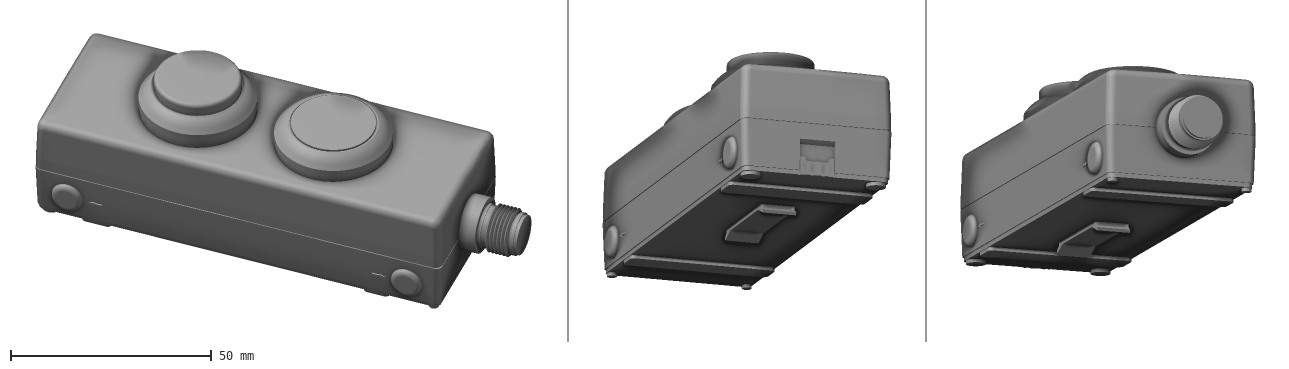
import cadquery as cq
import math

TOTAL_LENGTH = 123.2
BODY_LENGTH = 108.5
BODY_WIDTH = 39.7
BODY_MID = BODY_LENGTH / 2
PARTING_Z = 13.3
STRAIGHT_TOP_Z = 16.4
COVER_EDGE_Z = 27.6
COVER_CENTRE_Z = 27.8
DRAFT_ANGLE = 1.9
COVER_CORNER_RADIUS = 2.1
BASE_CORNER_RADIUS = 1.7
TOP_FILLET = 2.0
PLINTH_HEIGHT = 1.1
PLINTH_INSET = 0.2
PARTING_GROOVE_HEIGHT = 0.2
PARTING_GROOVE_DEPTH = 0.2

BUTTON_XS = (BODY_LENGTH / 3, 2 * BODY_LENGTH / 3)
BEZEL_BASE_RADIUS = 14.9
BEZEL_RADIUS = 14.8
BEZEL_BASE_Z = 25.9
RAISED_BEZEL_TOP_Z = 34.9
FLUSH_BEZEL_TOP_Z = 34.2
BEZEL_TOP_RADIUS = 11.3
BEZEL_SHOULDER_HEIGHT = 3.1
RIM_BEVEL_HEIGHT = 0.7
RIM_BEVEL_WIDTH = 0.6
SHOULDER_BULGE = 0.18
CAP_GAP = 0.4
CAP_RADIUS = BEZEL_TOP_RADIUS - CAP_GAP
CAP_EDGE = 1.0
RAISED_CAP_EDGE_Z = 38.2
FLUSH_CAP_EDGE_Z = FLUSH_BEZEL_TOP_Z + 0.2
CAP_CROWN = 0.2

SCREW_XS = (9.0, BODY_LENGTH - 9.0)
SCREW_Z = 6.3
SCREW_RADIUS = 4.2
SCREW_FACE_Y = 41.7 / 2
SCREW_ROUNDING = 1.5
SCREW_ROOT_Y = BODY_WIDTH / 2 - 1.2
ARROW_TIP_OFFSET = 5.8
ARROW_HEAD_LENGTH = 1.5
ARROW_LENGTH = 3.5
ARROW_HEAD_WIDTH = 1.1
ARROW_STEM_WIDTH = 0.5
ARROW_FACE_Y = BODY_WIDTH / 2 + 0.1

COLLAR_RADIUS = 7.3
COLLAR_END_X = 112.8
NECK_RADIUS = 5.5
FLANGE_RADIUS = 5.8
FLANGE_LENGTH = 0.9
THREAD_START_X = 114.9
THREAD_PITCH = 1.0
THREAD_COUNT = 6
THREAD_RADIUS = 6.3
UNDERCUT_LENGTH = 0.5
TIP_RING_LENGTH = 1.0
TIP_RADIUS = 5.2

FOOT_HEIGHT = 0.9
FOOT_HALF_SPAN = 19.0
LEFT_FOOT_X = 3.6
LEFT_FOOT_RADIUS = 2.5
RIGHT_FOOT_X = 106.0
RIGHT_FOOT_RADIUS = 1.2
PAD_RANGES = ((12.3, 20.2), (87.4, 94.3))
PAD_CORNER = 1.2
CLIP_X = 43.8
CLIP_WIDTH = 8.7
CLIP_PLATE_LENGTH = 26.6
CLIP_WING_ROOT = 10.7
CLIP_WING_TIP = 14.7
CLIP_THICKNESS = 0.7
CLIP_DROP = 2.5

RECESS_WIDTH = 9.4
RECESS_TOP_Z = 9.2
RECESS_BACK_TOP_Z = 8.0
RECESS_DEPTH = 1.1
LATCH_WIDTH = 8.7
LATCH_TOP_Z = 3.6
LATCH_FACE_X = 0.5
SHOULDER_WIDTH = 1.4
SHOULDER_TOP_Z = 4.7
SHOULDER_ROUNDING = 0.5
RIB_SPACING = 2.5
CENTRE_RIB_WIDTH = 1.8
SIDE_RIB_WIDTH = 1.1
RIB_PROJECTION = 0.4

EMBED = 0.6


def box(x_range, y_range, z_range):
    lows, highs = zip(x_range, y_range, z_range)
    size = [high - low for low, high in zip(lows, highs)]
    return cq.Workplane("XY").box(*size, centered=False).translate(lows)


def body_block(bottom_z, height, corner_radius, inset=0, draft=0):
    """Rounded block on the body plan; a negative height grows downward."""
    return (
        cq.Workplane("XY", origin=(BODY_MID, 0, bottom_z))
        .rect(BODY_LENGTH - 2 * inset, BODY_WIDTH - 2 * inset)
        .extrude(height, taper=draft)
        .edges("not (#Z or |X or |Y)")
        .fillet(corner_radius)
    )


def make_cover():
    """Upper shell: straight band, drafted walls and a top gently crowned across Y."""
    upper = body_block(STRAIGHT_TOP_Z, COVER_CENTRE_Z + EMBED - STRAIGHT_TOP_Z,
                       COVER_CORNER_RADIUS, draft=DRAFT_ANGLE)
    half = BODY_WIDTH / 2
    crown = (
        cq.Workplane("YZ", origin=(-EMBED, 0, 0))
        .moveTo(-half, 0)
        .lineTo(-half, COVER_EDGE_Z)
        .threePointArc((0, COVER_CENTRE_Z), (half, COVER_EDGE_Z))
        .lineTo(half, 0)
        .close()
        .extrude(BODY_LENGTH + 2 * EMBED)
    )
    upper = upper.intersect(crown).faces(">Z").edges().fillet(TOP_FILLET)
    return upper.union(body_block(PARTING_Z, STRAIGHT_TOP_Z - PARTING_Z, COVER_CORNER_RADIUS))


def make_base():
    """Lower shell narrowing towards a slightly inset plinth."""
    drafted = body_block(PARTING_Z - PARTING_GROOVE_HEIGHT,
                         PLINTH_HEIGHT + PARTING_GROOVE_HEIGHT - PARTING_Z,
                         BASE_CORNER_RADIUS, draft=DRAFT_ANGLE)
    plinth_inset = PARTING_Z * math.tan(math.radians(DRAFT_ANGLE)) + PLINTH_INSET
    plinth = body_block(0, PLINTH_HEIGHT, BASE_CORNER_RADIUS, inset=plinth_inset)
    seam = body_block(PARTING_Z - PARTING_GROOVE_HEIGHT, PARTING_GROOVE_HEIGHT,
                      BASE_CORNER_RADIUS, inset=PARTING_GROOVE_DEPTH)
    return drafted.union(plinth).union(seam)


def make_button(x, bezel_top_z, cap_edge_z):
    """Turned push button: bezel with a bevelled rim and bulged shoulder, gap, and a crowned cap."""
    rim_z = bezel_top_z - BEZEL_SHOULDER_HEIGHT
    gap_floor_z = bezel_top_z - CAP_GAP
    shoulder_radius = BEZEL_RADIUS - RIM_BEVEL_WIDTH
    shoulder_z = rim_z + RIM_BEVEL_HEIGHT
    shoulder_middle = ((shoulder_radius + BEZEL_TOP_RADIUS) / 2 + SHOULDER_BULGE,
                       (shoulder_z + bezel_top_z) / 2 + SHOULDER_BULGE)
    bezel = (
        cq.Workplane("XZ")
        .moveTo(0, BEZEL_BASE_Z)
        .lineTo(BEZEL_BASE_RADIUS, BEZEL_BASE_Z)
        .lineTo(BEZEL_RADIUS, rim_z)
        .lineTo(shoulder_radius, shoulder_z)
        .threePointArc(shoulder_middle, (BEZEL_TOP_RADIUS, bezel_top_z))
        .lineTo(CAP_RADIUS, bezel_top_z)
        .lineTo(CAP_RADIUS, gap_floor_z)
        .lineTo(0, gap_floor_z)
        .close()
        .revolve(360, (0, 0, 0), (0, 1, 0))
    )
    return bezel.union(make_cap(rim_z, bezel_top_z, cap_edge_z)).translate((x, 0, 0))


def make_cap(base_z, bezel_top_z, edge_z):
    """Crowned cap: a raised one has a rounded rim, a flush one stands inside the bezel gap."""
    profile = cq.Workplane("XZ").moveTo(0, base_z)
    if edge_z - CAP_EDGE > bezel_top_z:
        rim = CAP_RADIUS - CAP_EDGE
        profile = (
            profile.lineTo(CAP_RADIUS, base_z)
            .lineTo(CAP_RADIUS, edge_z - CAP_EDGE)
            .radiusArc((rim, edge_z), -CAP_EDGE)
        )
    else:
        rim = CAP_RADIUS - CAP_GAP
        profile = profile.lineTo(rim, base_z).lineTo(rim, edge_z)
    sphere_radius = (rim ** 2 + CAP_CROWN ** 2) / (2 * CAP_CROWN)
    return (
        profile.radiusArc((0, edge_z + CAP_CROWN), -sphere_radius)
        .close()
        .revolve(360, (0, 0, 0), (0, 1, 0))
    )


def make_screw(x):
    """Rounded screw head on the -Y side."""
    return (
        cq.Workplane("XZ", origin=(x, -SCREW_ROOT_Y, SCREW_Z))
        .circle(SCREW_RADIUS)
        .extrude(SCREW_FACE_Y - SCREW_ROOT_Y)
        .faces("<Y")
        .edges()
        .fillet(SCREW_ROUNDING)
    )


def make_arrow(screw_x):
    """Raised arrow on the -Y side, pointing outward at its screw."""
    inward = 1 if screw_x < BODY_MID else -1
    neck = inward * ARROW_HEAD_LENGTH
    tail = inward * ARROW_LENGTH
    head_half = ARROW_HEAD_WIDTH / 2
    stem_half = ARROW_STEM_WIDTH / 2
    outline = [
        (0, 0), (neck, head_half), (neck, stem_half), (tail, stem_half),
        (tail, -stem_half), (neck, -stem_half), (neck, -head_half),
    ]
    return (
        cq.Workplane("XZ", origin=(screw_x + inward * ARROW_TIP_OFFSET, -SCREW_ROOT_Y, SCREW_Z))
        .polyline(outline)
        .close()
        .extrude(ARROW_FACE_Y - SCREW_ROOT_Y)
    )


def x_cylinder(start_x, end_x, radius):
    return cq.Workplane("YZ", origin=(start_x, 0, PARTING_Z)).circle(radius).extrude(end_x - start_x)


def make_connector():
    """Collar, neck, ridged thread, undercut and tip along X at parting height."""
    thread_end = THREAD_START_X + THREAD_COUNT * THREAD_PITCH
    ring_start = thread_end + UNDERCUT_LENGTH
    connector = x_cylinder(BODY_LENGTH - 2 * EMBED, COLLAR_END_X, COLLAR_RADIUS)
    connector = connector.union(x_cylinder(COLLAR_END_X, COLLAR_END_X + FLANGE_LENGTH, FLANGE_RADIUS))
    connector = connector.union(x_cylinder(COLLAR_END_X, THREAD_START_X, NECK_RADIUS))
    connector = connector.union(x_cylinder(thread_end, TOTAL_LENGTH, TIP_RADIUS))
    connector = connector.union(x_cylinder(ring_start, ring_start + TIP_RING_LENGTH, NECK_RADIUS))
    thread = cq.Workplane("XY").moveTo(THREAD_START_X, 0).lineTo(THREAD_START_X, NECK_RADIUS)
    for ridge in range(THREAD_COUNT):
        ridge_x = THREAD_START_X + ridge * THREAD_PITCH
        thread = thread.lineTo(ridge_x + THREAD_PITCH / 2, THREAD_RADIUS)
        thread = thread.lineTo(ridge_x + THREAD_PITCH, NECK_RADIUS)
    thread = thread.lineTo(thread_end, 0).close().revolve(360, (0, 0, 0), (1, 0, 0))
    return connector.union(thread.translate((0, 0, PARTING_Z)))


def make_feet():
    """Round corner feet and two cross pads under the base."""
    feet = cq.Workplane("XY")
    for x, radius in ((LEFT_FOOT_X, LEFT_FOOT_RADIUS), (RIGHT_FOOT_X, RIGHT_FOOT_RADIUS)):
        offset = FOOT_HALF_SPAN - radius
        feet = feet.union(
            cq.Workplane("XY", origin=(0, 0, -FOOT_HEIGHT))
            .pushPoints([(x, -offset), (x, offset)])
            .circle(radius)
            .extrude(FOOT_HEIGHT + EMBED)
        )
    for start_x, end_x in PAD_RANGES:
        pad = box((start_x, end_x), (-FOOT_HALF_SPAN, FOOT_HALF_SPAN), (-FOOT_HEIGHT, EMBED))
        feet = feet.union(pad.edges("|Z").fillet(PAD_CORNER))
    return feet


def make_clip():
    """Flat spring clip with a wing bent down at each end."""
    half_plate = CLIP_PLATE_LENGTH / 2
    half_width = CLIP_WIDTH / 2
    clip = box((CLIP_X - half_plate, CLIP_X + half_plate), (-half_width, half_width),
               (-FOOT_HEIGHT, EMBED))
    for side in (-1, 1):
        wing = [
            (side * CLIP_WING_ROOT, -FOOT_HEIGHT),
            (side * (CLIP_WING_TIP - CLIP_THICKNESS / 2), -CLIP_DROP),
            (side * CLIP_WING_TIP, CLIP_THICKNESS - CLIP_DROP),
            (side * half_plate, -FOOT_HEIGHT),
            (side * half_plate, 0),
            (side * CLIP_WING_ROOT, 0),
        ]
        clip = clip.union(
            cq.Workplane("XZ", origin=(CLIP_X, half_width, 0)).polyline(wing).close().extrude(CLIP_WIDTH)
        )
    return clip


def make_recess():
    """Cutter for the end recess, with a sloping ceiling."""
    profile = [
        (-EMBED, -EMBED), (RECESS_DEPTH, -EMBED), (RECESS_DEPTH, RECESS_BACK_TOP_Z),
        (0, RECESS_TOP_Z), (-EMBED, RECESS_TOP_Z),
    ]
    return (
        cq.Workplane("XZ", origin=(0, RECESS_WIDTH / 2, 0)).polyline(profile).close().extrude(RECESS_WIDTH)
    )


def make_latch():
    """Ribbed latch block standing in the recess, with a raised shoulder at each side."""
    half = LATCH_WIDTH / 2
    depth = (LATCH_FACE_X, RECESS_DEPTH + EMBED)
    latch = box(depth, (-half, half), (0, LATCH_TOP_Z))
    shoulder = (
        box(depth, (half - SHOULDER_WIDTH, half), (0, SHOULDER_TOP_Z))
        .edges("|X and >Z and <Y")
        .fillet(SHOULDER_ROUNDING)
    )
    latch = latch.union(shoulder).union(shoulder.mirror("XZ"))
    ribs = ((-RIB_SPACING, SIDE_RIB_WIDTH), (0, CENTRE_RIB_WIDTH), (RIB_SPACING, SIDE_RIB_WIDTH))
    for rib_y, width in ribs:
        latch = latch.union(
            box((LATCH_FACE_X - RIB_PROJECTION, RECESS_DEPTH),
                (rib_y - width / 2, rib_y + width / 2), (0, LATCH_TOP_Z))
        )
    return latch


result = make_cover().union(make_base()).cut(make_recess()).union(make_latch())

result = result.union(make_button(BUTTON_XS[0], RAISED_BEZEL_TOP_Z, RAISED_CAP_EDGE_Z))
result = result.union(make_button(BUTTON_XS[1], FLUSH_BEZEL_TOP_Z, FLUSH_CAP_EDGE_Z))

for screw_x in SCREW_XS:
    side_details = make_screw(screw_x).union(make_arrow(screw_x))
    result = result.union(side_details).union(side_details.mirror("XZ"))

result = result.union(make_connector()).union(make_feet()).union(make_clip())